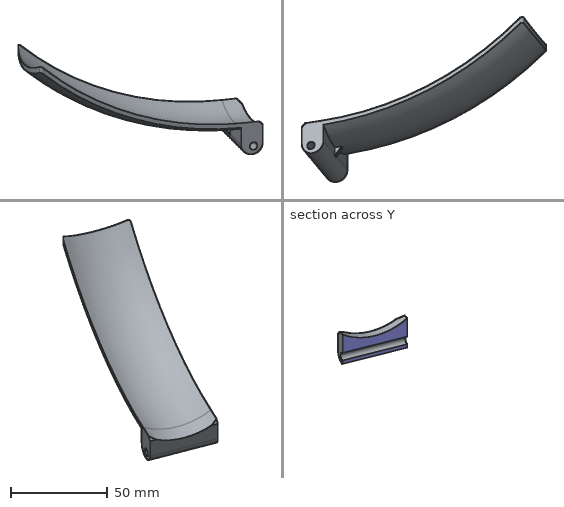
import cadquery as cq
import math

width = 38.0
length = 124.3
half_width = width / 2

hinge_depth = 11.9
hinge_radius = hinge_depth / 2
hinge_top = 17.8
back_chamfer = 2.0
pin_diameter = 4.1
pin_setback = 5.1
pin_height = 4.5

trough_radius = 35.4
shell_thickness = 2.1
bend_radius = 165.1
bend_start = 10.0
sweep_angle = 50.0

tip_radius = 63.4
tip_corner_radius = 2.0

gusset_width = 2.0
gusset_reach = 3.7
gusset_foot = 5.3
gusset_head = 10.2

bend_axis = hinge_top + bend_radius
trough_sag = trough_radius - math.sqrt(trough_radius**2 - half_width**2)
trough_bottom = hinge_top - trough_sag
trough_axis = trough_bottom + trough_radius
outer_radius = trough_radius + shell_thickness
outer_bottom = trough_bottom - shell_thickness
outer_edge = trough_axis - math.sqrt(outer_radius**2 - half_width**2)


def side_plane(half_thickness):
    """YZ sketch plane for a solid centred on X = 0."""
    return cq.Workplane("YZ", origin=(-half_thickness, 0, 0))


def trough_cutter():
    """Straight cylinder that hollows the top of the hinge block."""
    return (
        cq.Workplane("XZ", origin=(0, 0, trough_axis))
        .circle(trough_radius)
        .extrude(length, both=True)
    )


def hinge():
    block = (
        side_plane(half_width)
        .moveTo(0, hinge_radius)
        .lineTo(0, hinge_top - back_chamfer)
        .lineTo(-back_chamfer, hinge_top)
        .lineTo(-hinge_depth, hinge_top)
        .lineTo(-hinge_depth, hinge_radius)
        .threePointArc((-hinge_radius, 0), (0, hinge_radius))
        .close()
        .extrude(width)
    )
    return block.cut(trough_cutter())


def shell():
    """Trough section revolved about the bend axis, trimmed to the rounded tip."""
    section = (
        cq.Workplane("XZ", origin=(0, -bend_start, 0))
        .moveTo(-half_width, hinge_top)
        .threePointArc((0, trough_bottom), (half_width, hinge_top))
        .lineTo(half_width, outer_edge)
        .threePointArc((0, outer_bottom), (-half_width, outer_edge))
        .close()
    )
    swept = section.revolve(sweep_angle, (0, bend_axis, 0), (-1, bend_axis, 0))
    return swept.intersect(plan_outline())


def plan_outline():
    tip_sag = tip_radius - math.sqrt(tip_radius**2 - half_width**2)
    return (
        cq.Workplane("XY")
        .moveTo(-half_width, 0)
        .lineTo(-half_width, tip_sag - length)
        .threePointArc((0, -length), (half_width, tip_sag - length))
        .lineTo(half_width, 0)
        .close()
        .extrude(length)
        .edges("|Z and (not >Y)")
        .fillet(tip_corner_radius)
    )


def gusset():
    return (
        side_plane(gusset_width / 2)
        .moveTo(-hinge_radius, gusset_foot)
        .lineTo(-hinge_depth, gusset_foot)
        .lineTo(-hinge_depth - gusset_reach, gusset_head)
        .lineTo(-hinge_depth - gusset_reach, gusset_head + shell_thickness / 2)
        .lineTo(-hinge_radius, gusset_head + shell_thickness / 2)
        .close()
        .extrude(gusset_width)
    )


def pin_hole():
    return (
        side_plane(half_width)
        .center(-pin_setback, pin_height)
        .circle(pin_diameter / 2)
        .extrude(width)
    )


result = hinge().union(shell()).union(gusset()).cut(pin_hole())